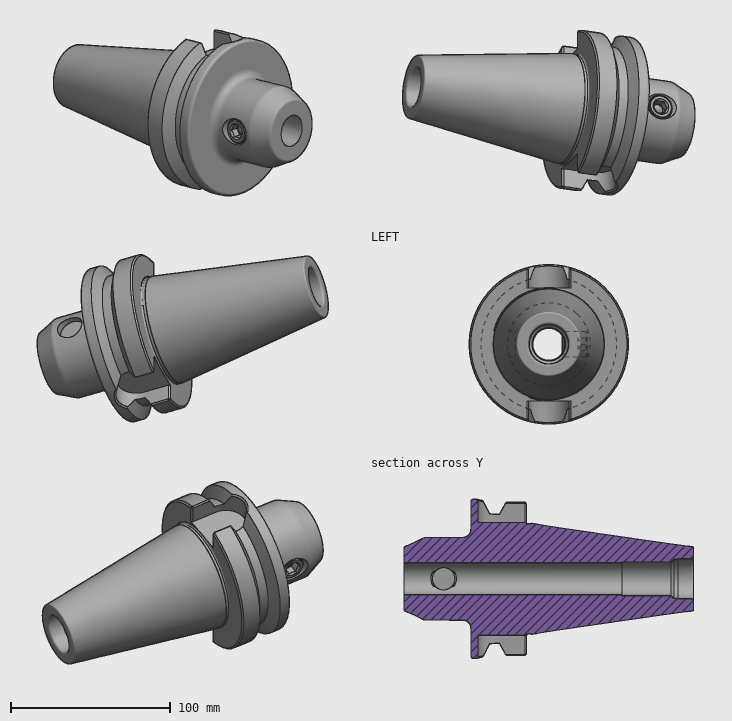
import cadquery as cq
import math


taper_length = 101.8
gauge_diameter = 69.85
taper_rate = 7 / 24
taper_end_fillet = 1.0
taper_front_x = 0.0
taper_front_bevel = 0.3

neck_diameter = 69.25
neck_fillet = 1.0

flange_back_x = 3.0
flange_front_x = 38.0
flange_diameter = 100.0
groove_diameter = 84.9
groove_center_x = 23.1
groove_floor_width = 6.1
groove_flank_angle = 60.0
back_collar_chamfer = 1.0
front_collar_fillet = 1.8

slot_width = 25.6
slot_end_x = 33.4
slot_floor_height = 35.4
slot_edge_chamfer = 1.0

nose_diameter = 52.0
nose_end_x = 80.0
nose_root_fillet = 5.0
nose_cone_start_x = 67.1
nose_end_diameter = 40.0
nose_shoulder_fillet = 3.0
nose_end_fillet = 2.0

bore_diameter = 20.0
socket_diameter = 25.0
socket_depth = 10.0
socket_mouth_fillet = 1.5
relief_diameter = 24.5
relief_length = 2.5
stud_thread_diameter = 21.0
stud_thread_depth = 45.0

screw_x = 55.0
screw_diameter = 16.0
screw_hole_diameter = 14.0
screw_length = 16.0
screw_tip_height = 8.4
screw_end_chamfer = 1.0
screw_mouth_diameter = 19.6
hex_width = 8.0
hex_depth = 6.0
hex_mouth_diameter = 10.5
hex_cone_diameter = 7.0
hex_cone_angle = 118.0

balance_diameter = 16.5
balance_depth = 5.0

taper_back_x = -taper_length
nose_radius = nose_diameter / 2
screw_head_height = screw_tip_height + screw_length
groove_radius = groove_diameter / 2
flange_radius = flange_diameter / 2
neck_radius = neck_diameter / 2
flank_slope = math.tan(math.radians(groove_flank_angle))
groove_back_x = groove_center_x - groove_floor_width / 2
groove_front_x = groove_center_x + groove_floor_width / 2
flank_length = (flange_radius - groove_radius) / flank_slope
back_collar_end_x = groove_back_x - flank_length
front_collar_start_x = groove_front_x + flank_length
slot_half_width = slot_width / 2
thread_cone_length = (relief_diameter - stud_thread_diameter) / 2


def taper_radius(x):
    """Radius of the taper at the given X."""
    return (gauge_diameter + taper_rate * x) / 2


def revolve_about_x(profile):
    """Solid of revolution about the part axis from a half profile in the XY plane."""
    return profile.close().revolve(360, (0, 0, 0), (1, 0, 0))


def circles_at(x):
    """Selects the circular edges around the part axis that lie at the given X."""
    reach = flange_diameter
    margin = 0.1
    low = (x - margin, -reach, -reach)
    high = (x + margin, reach, reach)
    return cq.selectors.BoxSelector(low, high, boundingbox=True)


def make_outside():
    """Taper, neck, grooved flange and nose as one turned solid."""
    profile = (
        cq.Workplane("XY")
        .moveTo(taper_back_x, 0)
        .lineTo(taper_back_x, taper_radius(taper_back_x))
        .lineTo(taper_front_x, taper_radius(taper_front_x))
        .lineTo(taper_front_x + taper_front_bevel, neck_radius)
        .lineTo(flange_back_x - neck_fillet, neck_radius)
        .radiusArc((flange_back_x, neck_radius + neck_fillet), -neck_fillet)
        .lineTo(flange_back_x, flange_radius - back_collar_chamfer)
        .lineTo(flange_back_x + back_collar_chamfer, flange_radius)
        .lineTo(back_collar_end_x, flange_radius)
        .lineTo(groove_back_x, groove_radius)
        .lineTo(groove_front_x, groove_radius)
        .lineTo(front_collar_start_x, flange_radius)
        .lineTo(flange_front_x - front_collar_fillet, flange_radius)
        .radiusArc((flange_front_x, flange_radius - front_collar_fillet), front_collar_fillet)
        .lineTo(flange_front_x, nose_radius + nose_root_fillet)
        .radiusArc((flange_front_x + nose_root_fillet, nose_radius), -nose_root_fillet)
        .lineTo(nose_cone_start_x, nose_radius)
        .lineTo(nose_end_x, nose_end_diameter / 2)
        .lineTo(nose_end_x, 0)
    )
    outside = revolve_about_x(profile)
    outside = outside.edges(circles_at(nose_cone_start_x)).fillet(nose_shoulder_fillet)
    outside = outside.edges(circles_at(taper_back_x)).fillet(taper_end_fillet)
    return outside.edges(circles_at(nose_end_x)).fillet(nose_end_fillet)


def make_slot(side):
    """Round-ended drive slot cutter, open to +Z (side = 1) or -Z (side = -1)."""
    return (
        cq.Workplane("XY", origin=(0, 0, side * slot_floor_height))
        .moveTo(flange_back_x, -slot_half_width)
        .lineTo(slot_end_x - slot_half_width, -slot_half_width)
        .threePointArc((slot_end_x, 0), (slot_end_x - slot_half_width, slot_half_width))
        .lineTo(flange_back_x, slot_half_width)
        .close()
        .extrude(side * flange_radius)
    )


def slot_edges(side):
    """Selects a slot's edges on the back collar and its rounded end on the front collar rim."""
    above_floor = side * (slot_floor_height + slot_edge_chamfer)
    outside_rim = side * flange_radius
    margin = 0.1
    across = slot_half_width + margin
    back_collar_edges = cq.selectors.BoxSelector(
        (flange_back_x - margin, -across, above_floor),
        (back_collar_end_x, across, outside_rim),
    )
    front_collar_edges = cq.selectors.BoxSelector(
        (front_collar_start_x + margin, -across, above_floor),
        (slot_end_x + margin, across, outside_rim),
    )
    return back_collar_edges + front_collar_edges


def make_bore():
    """Through bore with the pull-stud thread and its centring socket at the taper end."""
    socket_radius = socket_diameter / 2
    relief_radius = relief_diameter / 2
    thread_radius = stud_thread_diameter / 2
    bore_radius = bore_diameter / 2
    socket_end_x = taper_back_x + socket_depth
    relief_end_x = socket_end_x + relief_length
    thread_end_x = taper_back_x + stud_thread_depth
    profile = (
        cq.Workplane("XY")
        .moveTo(taper_back_x, 0)
        .lineTo(taper_back_x, socket_radius + socket_mouth_fillet)
        .radiusArc((taper_back_x + socket_mouth_fillet, socket_radius), -socket_mouth_fillet)
        .lineTo(socket_end_x, socket_radius)
        .lineTo(socket_end_x, relief_radius)
        .lineTo(relief_end_x, relief_radius)
        .lineTo(relief_end_x + thread_cone_length, thread_radius)
        .lineTo(thread_end_x, thread_radius)
        .lineTo(thread_end_x, bore_radius)
        .lineTo(nose_end_x, bore_radius)
        .lineTo(nose_end_x, 0)
    )
    return revolve_about_x(profile)


def revolve_about_screw(profile):
    """Solid of revolution about the screw axis from a half profile drawn at X >= screw_x."""
    return profile.close().revolve(360, (0, 0, 0), (0, 1, 0))


def screw_plane():
    """Plane through the screw axis; local x is the radius and local y is the global Y."""
    return cq.Workplane("XY", origin=(screw_x, 0, 0))


def make_screw_blank():
    """Headless clamping screw along Y, chamfered at both ends, without its socket."""
    screw_radius = screw_diameter / 2
    end_radius = screw_radius - screw_end_chamfer
    return revolve_about_screw(
        screw_plane()
        .moveTo(0, -screw_tip_height)
        .lineTo(end_radius, -screw_tip_height)
        .lineTo(screw_radius, -screw_tip_height - screw_end_chamfer)
        .lineTo(screw_radius, -screw_head_height + screw_end_chamfer)
        .lineTo(end_radius, -screw_head_height)
        .lineTo(0, -screw_head_height)
    )


def make_screw_hole():
    """Hole on the -Y side with a 90 degree countersink and a seat that fits the screw."""
    hole_radius = screw_hole_diameter / 2
    mouth_radius = screw_mouth_diameter / 2
    countersink_depth = mouth_radius - hole_radius
    clearance = 1.0
    profile = (
        screw_plane()
        .lineTo(hole_radius, 0)
        .lineTo(hole_radius, -nose_radius + countersink_depth)
        .lineTo(mouth_radius + clearance, -nose_radius - clearance)
        .lineTo(0, -nose_radius - clearance)
    )
    return revolve_about_screw(profile).union(make_screw_blank())


def make_balance_hole():
    """Flat-bottomed balancing hole on the +Y side, opposite the screw."""
    return (
        cq.Workplane("XZ", origin=(screw_x, nose_radius, 0))
        .circle(balance_diameter / 2)
        .extrude(balance_depth)
    )


def make_holder():
    """Turned body with its drive slots, bore, screw hole and balancing hole."""
    holder = make_outside()
    for side in (1, -1):
        holder = holder.cut(make_slot(side))
        holder = holder.edges(slot_edges(side)).chamfer(slot_edge_chamfer)
    return holder.cut(make_bore()).cut(make_screw_hole()).cut(make_balance_hole())


def make_screw():
    """Clamping screw with a chamfered hexagon socket that has a cone standing on its floor."""
    hex_corner_turn = 30
    hexagon = (
        cq.Workplane("XZ", origin=(screw_x, -screw_head_height, 0))
        .transformed(rotate=(0, 0, hex_corner_turn))
        .polygon(6, hex_width, circumscribed=True)
        .extrude(-hex_depth)
    )
    mouth_radius = hex_mouth_diameter / 2
    mouth = revolve_about_screw(
        screw_plane()
        .moveTo(0, -screw_head_height)
        .lineTo(mouth_radius, -screw_head_height)
        .lineTo(0, -screw_head_height + mouth_radius)
    )
    cone_radius = hex_cone_diameter / 2
    hex_floor_y = -screw_head_height + hex_depth
    cone_height = cone_radius / math.tan(math.radians(hex_cone_angle / 2))
    floor_cone = revolve_about_screw(
        screw_plane()
        .moveTo(0, hex_floor_y)
        .lineTo(cone_radius, hex_floor_y)
        .lineTo(0, hex_floor_y - cone_height)
    )
    return make_screw_blank().cut(hexagon).cut(mouth).union(floor_cone)


holder = make_holder()
screw = make_screw()
result = cq.Compound.makeCompound([holder.val(), screw.val()])